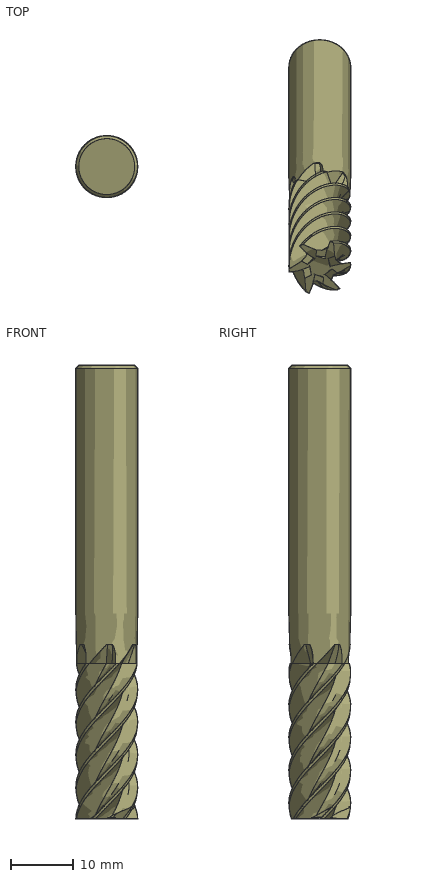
import cadquery as cq
import math

TOOL_LENGTH = 73.0
TOOL_DIAMETER = 10.0
SHANK_LENGTH = 40.0
SHANK_CHAMFER = 0.5
NECK_END_DIAMETER = 9.7
CUTTER_LENGTH = 25.0

TOOTH_COUNT = 6
HELIX_ANGLE = 45.0
FIRST_TOOTH_ANGLE = 1.0
LAND_ANGLE = 7.0
LAND_END_RADIUS = 4.92
ROOT_ANGLE = 41.0
ROOT_RADIUS = 2.8
HOLLOW_MID_ANGLE = 49.5
HOLLOW_MID_RADIUS = 3.08
RAKE_FOOT_ANGLE = 56.0
RAKE_FOOT_RADIUS = 3.6

RUNOUT_LENGTH = 3.1
RUNOUT_STEPS = 4
RUNOUT_ROOT_SHIFT = 3.0
RUNOUT_RAKE_SHIFT = 7.0
RUNOUT_ROUNDING = 4
RUNOUT_END_RADIUS = 4.75
OUTSIDE_RADIUS = 5.6

GASH_HEIGHT = 2.0
GASH_BACK_REACH = 1.6
GASH_INNER_RADIUS = 1.6
DISH_RADIUS = 3.4
DISH_DEPTH = 0.5

tool_radius = TOOL_DIAMETER / 2
neck_start = TOOL_LENGTH - SHANK_LENGTH
tooth_pitch = 360.0 / TOOTH_COUNT
lead = math.pi * TOOL_DIAMETER / math.tan(math.radians(HELIX_ANGLE))
twist_per_mm = 360.0 / lead


def polar(radius, angle):
    """Point at a radius and an angle in degrees."""
    a = math.radians(angle)
    return (radius * math.cos(a), radius * math.sin(a))


def make_gash():
    """V-shaped wedge along +X: a wall leaning with the helix and a sloping floor."""
    wall_lean = GASH_HEIGHT * math.tan(math.radians(HELIX_ANGLE))
    return (
        cq.Workplane("YZ").workplane(offset=GASH_INNER_RADIUS)
        .polyline([(0, 0), (wall_lean, GASH_HEIGHT), (-GASH_BACK_REACH, 0)])
        .close()
        .extrude(OUTSIDE_RADIUS - GASH_INNER_RADIUS)
    )


def make_dish():
    """Shallow cone that hollows the tip face towards the axis."""
    return cq.Workplane(cq.Solid.makeCone(DISH_RADIUS, 0, DISH_DEPTH))


def make_cutter():
    """Toothed section twisted along the helix, with its tip dished and gashed."""
    section = cq.Workplane("XY").moveTo(*polar(tool_radius, FIRST_TOOTH_ANGLE))
    for i in range(TOOTH_COUNT):
        edge = FIRST_TOOTH_ANGLE + i * tooth_pitch
        section = (
            section
            .lineTo(*polar(LAND_END_RADIUS, edge + LAND_ANGLE))
            .lineTo(*polar(ROOT_RADIUS, edge + ROOT_ANGLE))
            .threePointArc(
                polar(HOLLOW_MID_RADIUS, edge + HOLLOW_MID_ANGLE),
                polar(RAKE_FOOT_RADIUS, edge + RAKE_FOOT_ANGLE),
            )
            .lineTo(*polar(tool_radius, edge + tooth_pitch))
        )
    cutter = section.wire().twistExtrude(CUTTER_LENGTH, CUTTER_LENGTH * twist_per_mm)
    cutter = cutter.cut(make_dish())
    gash = make_gash()
    for i in range(TOOTH_COUNT):
        edge = FIRST_TOOTH_ANGLE + i * tooth_pitch
        cutter = cutter.cut(gash.rotate((0, 0, 0), (0, 0, 1), edge))
    return cutter


def runout_section(progress):
    """Flute outline in the neck.

    The back follows the helix while the flute gets shallower.
    The progress runs from 0 at the cutter to 1 at the end of the run-out.
    """
    height = progress * RUNOUT_LENGTH
    edge = FIRST_TOOTH_ANGLE + CUTTER_LENGTH * twist_per_mm
    back = edge + LAND_ANGLE + height * twist_per_mm
    root = edge + ROOT_ANGLE + progress * RUNOUT_ROOT_SHIFT
    rake_shift = RUNOUT_RAKE_SHIFT * progress**RUNOUT_ROUNDING
    rake = edge + tooth_pitch - rake_shift

    def lifted(radius):
        return radius + progress * (RUNOUT_END_RADIUS - radius)

    return (
        cq.Workplane("XY").workplane(offset=CUTTER_LENGTH + height)
        .moveTo(*polar(OUTSIDE_RADIUS, back))
        .lineTo(*polar(LAND_END_RADIUS, back))
        .lineTo(*polar(lifted(ROOT_RADIUS), root))
        .threePointArc(
            polar(lifted(HOLLOW_MID_RADIUS), edge + HOLLOW_MID_ANGLE - rake_shift / 4),
            polar(lifted(RAKE_FOOT_RADIUS), edge + RAKE_FOOT_ANGLE - rake_shift / 2),
        )
        .lineTo(*polar(tool_radius, rake))
        .lineTo(*polar(OUTSIDE_RADIUS, rake))
        .close()
        .val()
    )


def make_runout():
    """One flute as it fades out into the neck."""
    sections = [runout_section(i / RUNOUT_STEPS) for i in range(RUNOUT_STEPS + 1)]
    return cq.Workplane(cq.Solid.makeLoft(sections))


def make_shank():
    """Chamfered shank with a tapered neck and the ends of all flutes."""
    cylinder = (
        cq.Workplane("XY").workplane(offset=neck_start)
        .circle(tool_radius).extrude(SHANK_LENGTH)
        .faces(">Z").chamfer(SHANK_CHAMFER)
    )
    neck = (
        cq.Workplane("XY").workplane(offset=CUTTER_LENGTH)
        .circle(NECK_END_DIAMETER / 2)
        .workplane(offset=neck_start - CUTTER_LENGTH)
        .circle(tool_radius).loft(combine=True)
    )
    shank = cylinder.union(neck)
    runout = make_runout()
    for i in range(TOOTH_COUNT):
        shank = shank.cut(runout.rotate((0, 0, 0), (0, 0, 1), i * tooth_pitch))
    return shank


cutter = make_cutter()
shank = make_shank()
result = cq.Compound.makeCompound([shank.val(), cutter.val()])